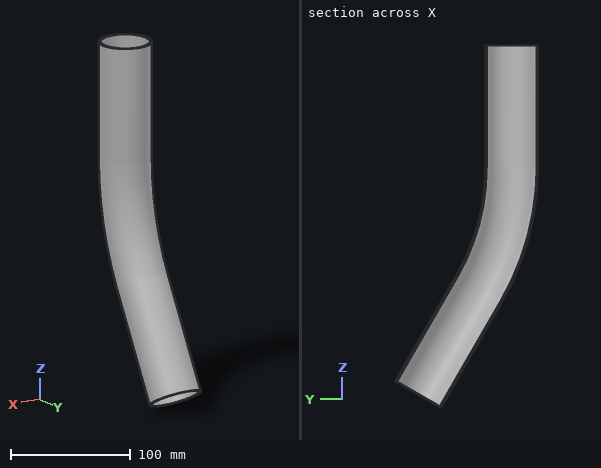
import cadquery as cq
import math

outer_diameter = 44.45
inner_diameter = 41.25
leg_length = 101.6
bend_radius = 203.2
bend_angle = 30.0


def bend_point(angle):
    """Centreline point (Y, Z) at an angle past the bend's upper end, which is the origin."""
    turn = math.radians(angle)
    return (bend_radius * (1 - math.cos(turn)), -bend_radius * math.sin(turn))


def centreline():
    """Vertical upper leg, arc curving toward +Y, then the sloping lower leg."""
    slope = math.radians(bend_angle)
    bend_end_y, bend_end_z = bend_point(bend_angle)
    lower_end = (
        bend_end_y + leg_length * math.sin(slope),
        bend_end_z - leg_length * math.cos(slope),
    )
    return (
        cq.Workplane("YZ")
        .moveTo(0, leg_length)
        .lineTo(0, 0)
        .threePointArc(bend_point(bend_angle / 2), (bend_end_y, bend_end_z))
        .lineTo(*lower_end)
    )


def swept_rod(diameter):
    """Solid rod that follows the centreline from the top end down."""
    top_plane = cq.Workplane("XY", origin=(0, 0, leg_length))
    return top_plane.circle(diameter / 2).sweep(centreline())


result = swept_rod(outer_diameter).cut(swept_rod(inner_diameter))